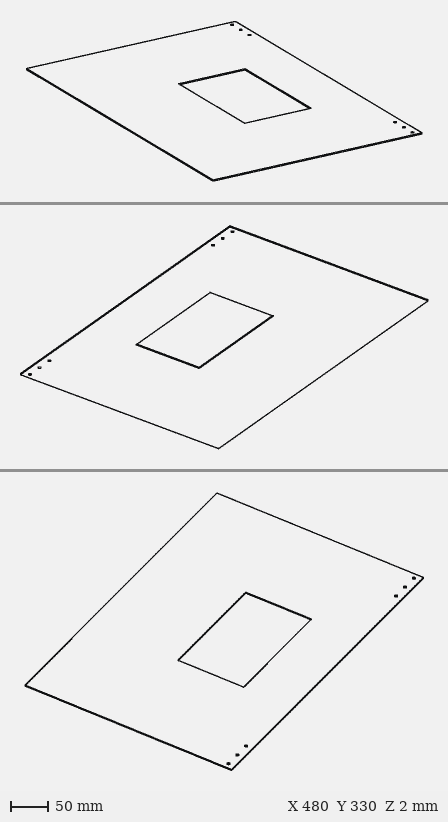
import cadquery as cq

length = 480.0
width = 330.0
thickness = 2.0

window_length = 170.0
window_width = 105.0
window_center_y = 32.5

hole_diameter = 4.0
holes_per_row = 3
hole_pitch = 22.0
end_margin = 8.0
back_margin = 10.0

plate = cq.Workplane("XY").box(length, width, thickness, centered=(True, True, False))

window = (
    cq.Workplane("XY")
    .center(0, window_center_y)
    .rect(window_length, window_width)
    .extrude(thickness)
)

hole_y = width / 2 - back_margin
hole_points = []
for side in (-1, 1):
    for index in range(holes_per_row):
        hole_x = side * (length / 2 - end_margin - index * hole_pitch)
        hole_points.append((hole_x, hole_y))

holes = (
    cq.Workplane("XY")
    .pushPoints(hole_points)
    .circle(hole_diameter / 2)
    .extrude(thickness)
)

result = plate.cut(window).cut(holes)